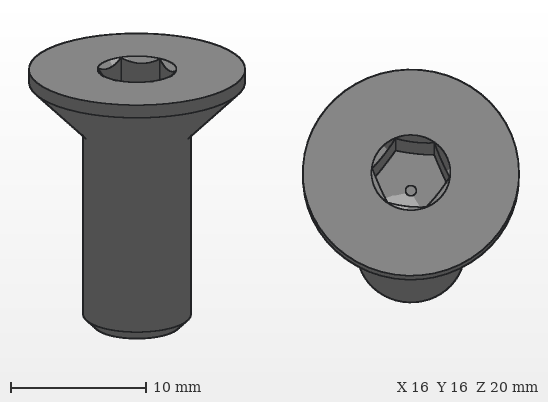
import cadquery as cq
import math

total_length = 20.0
head_diameter = 16.0
shank_diameter = 8.0
rim_height = 1.0
head_radius = head_diameter / 2
shank_radius = shank_diameter / 2

cone_height = head_radius - shank_radius
rim_bottom = total_length - rim_height
neck_height = rim_bottom - cone_height
neck_fillet = 0.4

tip_radius = 3.2
tip_height = 0.8

socket_across_flats = 5.0
socket_corner_radius = socket_across_flats / 2 / math.cos(math.pi / 6)
socket_depth = 3.0
socket_mouth_radius = 2.92
mouth_inner_radius = 2.0
lead_in_angle = 45.0
floor_flat_radius = 0.4
floor_cone_angle = 30.0


def make_body():
    """Revolve the head and shank, then blend the neck."""
    profile = [
        (0, 0),
        (tip_radius, 0),
        (shank_radius, tip_height),
        (shank_radius, neck_height),
        (head_radius, rim_bottom),
        (head_radius, total_length),
        (0, total_length),
    ]
    body = cq.Workplane("XZ").polyline(profile).close().revolve(360, (0, 0), (0, 1))
    neck_edge = cq.selectors.NearestToPointSelector((0, 0, neck_height))
    return body.edges("%CIRCLE").edges(neck_edge).fillet(neck_fillet)


def make_frustum(large_radius, small_radius, slope, top):
    """Downward-narrowing cone whose side falls at the given slope."""
    height = (large_radius - small_radius) * math.tan(math.radians(slope))
    profile = [(0, top), (large_radius, top), (small_radius, top - height), (0, top - height)]
    return cq.Workplane("XZ").polyline(profile).close().revolve(360, (0, 0), (0, 1))


def make_socket():
    """Hexagonal recess with corners on X, a conical mouth and a conical floor."""
    floor_height = total_length - socket_depth
    hexagon = cq.Workplane("XY").polygon(6, 2 * socket_corner_radius).extrude(total_length)
    floor_cone = make_frustum(socket_corner_radius, floor_flat_radius, floor_cone_angle, floor_height)
    bore = (
        cq.Workplane("XY", origin=(0, 0, floor_height))
        .circle(socket_corner_radius)
        .extrude(socket_depth)
        .union(floor_cone)
    )
    mouth = make_frustum(socket_mouth_radius, mouth_inner_radius, lead_in_angle, total_length)
    return hexagon.intersect(bore).union(mouth)


result = make_body().cut(make_socket())